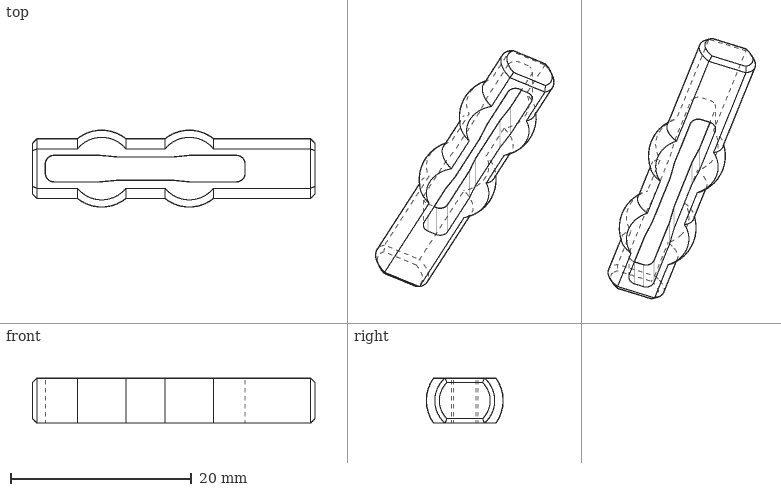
import cadquery as cq

length = 31.25
height = 5.0
rod_diameter = 6.62
end_chamfer = 0.5

ball_diameter = 8.53
ball_spacing = 9.7
first_ball_x = 7.65
ball_centers_x = [first_ball_x, first_ball_x + ball_spacing]

slot_start_x = 1.45
slot_end_x = 23.5
slot_width = 2.9
waist_width = 2.53
left_taper_start_x = 7.45
left_taper_end_x = 9.53
right_taper_start_x = 15.47
right_taper_end_x = 17.35
slot_corner_radius = 0.95


def make_rod():
    """Flatted rod, chamfered all round at both ends."""
    half_height = height / 2
    flat_half_width = ((rod_diameter / 2) ** 2 - half_height**2) ** 0.5
    profile = (
        cq.Workplane("YZ")
        .moveTo(-flat_half_width, half_height)
        .lineTo(flat_half_width, half_height)
        .threePointArc((rod_diameter / 2, 0), (flat_half_width, -half_height))
        .lineTo(-flat_half_width, -half_height)
        .threePointArc((-rod_diameter / 2, 0), (-flat_half_width, half_height))
        .close()
    )
    return profile.extrude(length).faces("<X or >X").chamfer(end_chamfer)


def make_ball(center_x):
    """Sphere on the rod axis, cut off level with the flats."""
    slab = cq.Workplane("XY").box(ball_diameter, ball_diameter, height)
    ball = cq.Workplane("XY").sphere(ball_diameter / 2).intersect(slab)
    return ball.translate((center_x, 0, 0))


def make_slot():
    """Slot cutter: full width at the ends, tapering to a waist between the balls."""
    side_y = slot_width / 2
    waist_y = waist_width / 2
    upper_side = [
        (slot_start_x, side_y),
        (left_taper_start_x, side_y),
        (left_taper_end_x, waist_y),
        (right_taper_start_x, waist_y),
        (right_taper_end_x, side_y),
        (slot_end_x, side_y),
    ]
    lower_side = [(x, -y) for x, y in reversed(upper_side)]
    cutter = cq.Workplane("XY").polyline(upper_side + lower_side).close().extrude(height / 2, both=True)
    end_corners = cutter.faces("<X or >X").edges("|Z")
    return end_corners.fillet(slot_corner_radius)


result = make_rod()
for ball_x in ball_centers_x:
    result = result.union(make_ball(ball_x))
result = result.cut(make_slot())